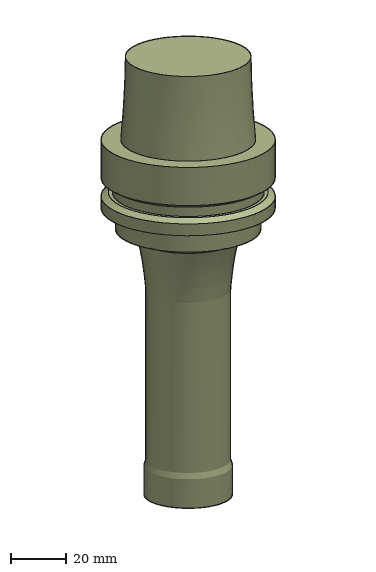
import cadquery as cq
import math

total_height = 167.0
collar_height = 11.0
collar_cone_top = 13.2
shank_top = 78.0
flare_bottom = 83.5
flare_top = 98.0
hub_bottom = 101.2
flange_bottom = 109.2
groove_bottom_edge = 113.7
groove_top_edge = 120.7
flange_top = 135.3

shank_radius = 30.7 / 2
collar_radius = 32.0 / 2
hub_radius = 52.6 / 2
groove_radius = 55.0 / 2
flange_radius = 63.0 / 2
flare_bottom_radius = 15.9
flare_mid_radius = 16.9
flare_top_radius = 18.4
neck_cone_radius = 22.2
taper_base_radius = 24.4
taper_mid_radius = 23.2
taper_tip_radius = 22.7

lip_height = 1.5
lip_angle = 30.0
lip_width = lip_height / math.tan(math.radians(lip_angle))
lip_radius = flange_radius - lip_width

flare_mid = (flare_bottom + flare_top) / 2
taper_mid = (flange_top + total_height) / 2

profile = (
    cq.Workplane("XZ")
    .moveTo(0, 0)
    .lineTo(collar_radius, 0)
    .lineTo(collar_radius, collar_height)
    .lineTo(shank_radius, collar_cone_top)
    .lineTo(shank_radius, shank_top)
    .lineTo(flare_bottom_radius, flare_bottom)
    .threePointArc((flare_mid_radius, flare_mid), (flare_top_radius, flare_top))
    .lineTo(neck_cone_radius, hub_bottom)
    .lineTo(hub_radius, hub_bottom)
    .lineTo(hub_radius, flange_bottom)
    .lineTo(flange_radius, flange_bottom)
    .lineTo(flange_radius, groove_bottom_edge)
    .lineTo(lip_radius, groove_bottom_edge + lip_height)
    .lineTo(groove_radius, groove_bottom_edge + lip_height)
    .lineTo(groove_radius, groove_top_edge - lip_height)
    .lineTo(lip_radius, groove_top_edge - lip_height)
    .lineTo(flange_radius, groove_top_edge)
    .lineTo(flange_radius, flange_top)
    .lineTo(taper_base_radius, flange_top)
    .threePointArc((taper_mid_radius, taper_mid), (taper_tip_radius, total_height))
    .lineTo(0, total_height)
    .close()
)

result = profile.revolve(360, (0, 0, 0), (0, 1, 0))